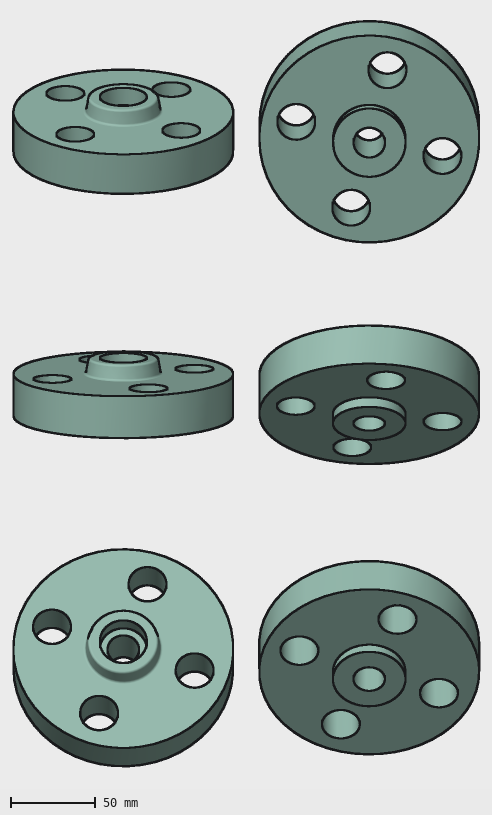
import cadquery as cq
import math

flange_diameter = 130.0
overall_height = 41.3
raised_face_diameter = 42.9
raised_face_height = 6.4
flange_thickness = 25.4

hub_base_diameter = 44.5
hub_draft_degrees = 10.0
hub_round_radius = 1.5

bore_diameter = 18.6
socket_diameter = 27.8
socket_depth = 11.0

bolt_hole_count = 4
bolt_hole_diameter = 22.4
bolt_circle_diameter = 88.9

flange_top = raised_face_height + flange_thickness
hub_height = overall_height - flange_top
hub_base_radius = hub_base_diameter / 2
hub_top_radius = hub_base_radius - hub_height * math.tan(math.radians(hub_draft_degrees))


def make_body():
    """Revolve the solid raised face, flange and hub, then round the hub edges."""
    flange_radius = flange_diameter / 2
    raised_face_radius = raised_face_diameter / 2
    profile = (
        cq.Workplane("XZ")
        .moveTo(0, 0)
        .lineTo(raised_face_radius, 0)
        .lineTo(raised_face_radius, raised_face_height)
        .lineTo(flange_radius, raised_face_height)
        .lineTo(flange_radius, flange_top)
        .lineTo(hub_base_radius, flange_top)
        .lineTo(hub_top_radius, overall_height)
        .lineTo(0, overall_height)
        .close()
    )
    body = profile.revolve(360, (0, 0, 0), (0, 1, 0))
    return body.faces("%CONE").edges("%CIRCLE").fillet(hub_round_radius)


def make_central_opening():
    """Through bore with a wider pipe socket sunk from the hub top."""
    bore = cq.Workplane("XY").circle(bore_diameter / 2).extrude(overall_height)
    socket = (
        cq.Workplane("XY")
        .workplane(offset=overall_height - socket_depth)
        .circle(socket_diameter / 2)
        .extrude(socket_depth)
    )
    return bore.union(socket)


def make_bolt_holes():
    """Evenly spaced through holes, the first on the +X axis."""
    return (
        cq.Workplane("XY")
        .workplane(offset=raised_face_height)
        .polarArray(bolt_circle_diameter / 2, 0, 360, bolt_hole_count)
        .circle(bolt_hole_diameter / 2)
        .extrude(flange_thickness)
    )


result = make_body().cut(make_central_opening()).cut(make_bolt_holes())